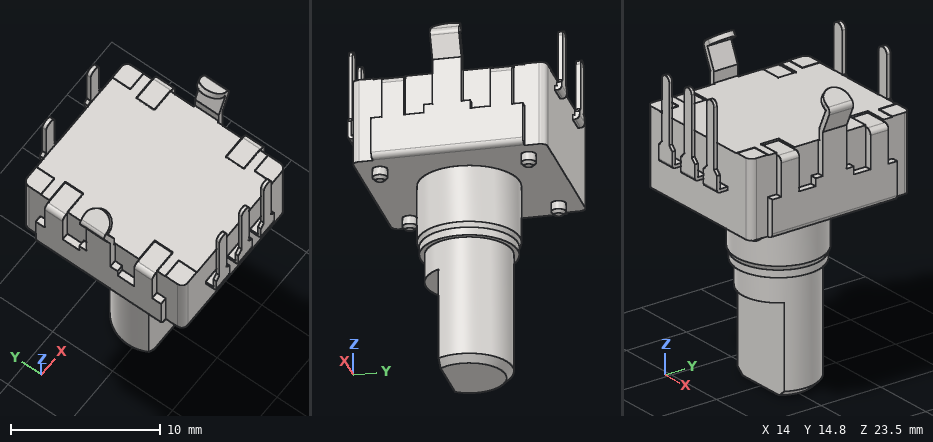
import cadquery as cq
import math


body_x = 11.5
body_y = 13.4
body_top = 5.95
body_corner_radius = 0.5
corner_pad = 1.5
corner_pad_top = 6.0

bushing_dia = 7.0
bushing_bottom = -4.1
collar_dia = 6.7
collar_top = -4.45
collar_bottom = -5.0
shaft_dia = 6.0
shaft_bottom = -14.0
shaft_chamfer = 0.5
flat_top = -7.0
flat_y = -1.48

post_dia = 1.0
post_height = 0.8
post_chamfer = 0.2
post_x = 4.18
post_y = 5.12

frame_x = 12.55
frame_y = 10.45
frame_side_top = 2.9
frame_bend_radius = 0.4
clip_width = 1.5
clip_y = 3.74
clip_reach = 3.97
clip_top = 5.8
lug_step_width = 3.2
lug_step_top = 3.48

lug_width = 2.0
lug_thickness = 0.42
lug_reach = 7.0
lug_bend_z = 6.8
lug_elbow_z = 8.4
lug_top = 9.5
lug_fold_angle = math.radians(35)

pin_pitch = 2.5
pin_foot_width = 1.5
pin_middle_foot_width = 1.57
pin_top = 9.5
pin_tip_height = 0.4
front_pin_width = 0.82
front_pin_y = 7.6
front_pin_thickness = 0.25
front_pin_bottom = 2.9
front_shoulder_top = 4.51
front_bend_radius = 0.24
rear_pin_width = 0.95
rear_pin_y = 7.17
rear_pin_thickness = 0.33
rear_pin_bottom = 4.95
rear_shoulder_top = 5.8
rear_bend_radius = 0.3

overlap = 0.24


def block(x0, x1, y0, y1, z0, z1):
    """Axis-aligned box between two opposite corners."""
    return cq.Workplane("XY").box(x1 - x0, y1 - y0, z1 - z0, centered=False).translate((x0, y0, z0))


def make_housing():
    """Rounded box with a slightly raised pad on each corner of the top."""
    housing = (
        cq.Workplane("XY")
        .rect(body_x, body_y)
        .extrude(corner_pad_top)
        .edges("|Z")
        .fillet(body_corner_radius)
    )
    pad_height = corner_pad_top - body_top
    for length, width in (
        (body_x, body_y - 2 * corner_pad),
        (body_x - 2 * corner_pad, body_y),
    ):
        lowered_top = cq.Workplane("XY").workplane(offset=body_top).rect(length, width).extrude(pad_height)
        housing = housing.cut(lowered_top)
    return housing


def make_shaft():
    """Bushing, collar and chamfered shaft in one revolve, with the D flat cut on -Y."""
    shaft_radius = shaft_dia / 2
    turned = (
        cq.Workplane("XZ")
        .moveTo(0, overlap)
        .lineTo(bushing_dia / 2, overlap)
        .lineTo(bushing_dia / 2, bushing_bottom)
        .lineTo(collar_dia / 2, collar_top)
        .lineTo(collar_dia / 2, collar_bottom)
        .lineTo(shaft_radius, collar_bottom)
        .lineTo(shaft_radius, shaft_bottom + shaft_chamfer)
        .lineTo(shaft_radius - shaft_chamfer, shaft_bottom)
        .lineTo(0, shaft_bottom)
        .close()
        .revolve(360, (0, 0), (0, 1))
    )
    flat = block(-shaft_radius, shaft_radius, -shaft_radius, flat_y, shaft_bottom, flat_top)
    return turned.cut(flat)


def make_posts():
    """Four chamfered locating posts under the housing."""
    return (
        cq.Workplane("XY")
        .workplane(offset=overlap)
        .rect(2 * post_x, 2 * post_y, forConstruction=True)
        .vertices()
        .circle(post_dia / 2)
        .extrude(-(post_height + overlap))
        .faces("<Z")
        .chamfer(post_chamfer)
    )


def make_clip_pocket(y):
    """Recess in the housing top on +X, above one folded clip."""
    return block(
        clip_reach, frame_x / 2,
        y - clip_width / 2, y + clip_width / 2,
        clip_top, corner_pad_top,
    )


def make_frame_side():
    """Frame wall on +X with its two folded clips and the risers below the lug."""
    inner_x = body_x / 2 - overlap
    outer_x = frame_x / 2
    wall = block(inner_x, outer_x, -frame_y / 2, frame_y / 2, 0, frame_side_top)
    wall = wall.edges(">X and <Z").fillet(frame_bend_radius)
    for width, top in ((lug_step_width, lug_step_top), (lug_width, body_top)):
        wall = wall.union(block(inner_x, outer_x, -width / 2, width / 2, frame_bend_radius, top))
    for y in (-clip_y, clip_y):
        clip = block(inner_x, outer_x, y - clip_width / 2, y + clip_width / 2, frame_bend_radius, clip_top)
        wall = wall.union(clip.edges(">X and >Z").fillet(frame_bend_radius))
    return wall


def make_lug():
    """Bent strip on +X, of constant thickness, with a round end on its folded tip."""
    outer_x = frame_x / 2
    inner_x = outer_x - lug_thickness
    elbow_x = lug_reach - lug_thickness
    lean_angle = math.atan2(elbow_x - inner_x, lug_elbow_z - lug_bend_z)

    def elbow_outer_point(angle):
        """Point on the round outside of the elbow, centred on its inner corner."""
        return (
            elbow_x + lug_thickness * math.cos(angle),
            lug_elbow_z + lug_thickness * math.sin(angle),
        )

    stem = (
        cq.Workplane("XZ")
        .moveTo(inner_x, lug_step_top)
        .lineTo(outer_x, lug_step_top)
        .lineTo(outer_x, lug_bend_z - lug_thickness * math.tan(lean_angle / 2))
        .lineTo(*elbow_outer_point(-lean_angle))
        .threePointArc(elbow_outer_point(0), elbow_outer_point(math.pi / 2 - lug_fold_angle))
        .lineTo(elbow_x, lug_elbow_z)
        .lineTo(inner_x, lug_bend_z)
        .close()
        .extrude(lug_width / 2, both=True)
    )

    fold_sin = math.sin(lug_fold_angle)
    fold_cos = math.cos(lug_fold_angle)
    tip_length = (lug_top - lug_elbow_z - lug_thickness * fold_cos) / fold_sin
    tip_plane = cq.Plane(
        origin=(elbow_x, 0, lug_elbow_z),
        xDir=(-fold_cos, 0, fold_sin),
        normal=(fold_sin, 0, fold_cos),
    )
    half_width = lug_width / 2
    tip = (
        cq.Workplane(tip_plane)
        .moveTo(0, -half_width)
        .lineTo(tip_length - half_width, -half_width)
        .threePointArc((tip_length, 0), (tip_length - half_width, half_width))
        .lineTo(0, half_width)
        .close()
        .extrude(lug_thickness)
    )
    return stem.union(tip)


def make_pin(x, foot_width, width, outer_y, thickness, bottom, shoulder_top, bend_radius):
    """L-shaped terminal on the +Y side: wide foot, sloped shoulders and a round tip."""
    inner_y = body_y / 2 - overlap
    bent_strip = (
        block(-foot_width / 2, foot_width / 2, inner_y, outer_y, bottom, pin_top)
        .cut(block(-foot_width, foot_width, 0, outer_y - thickness, bottom + thickness, pin_top))
        .edges(">Y and <Z")
        .fillet(bend_radius)
    )
    foot_half = foot_width / 2
    half = width / 2
    shoulder_bottom = shoulder_top - (foot_half - half)
    tip_start = pin_top - pin_tip_height
    front_outline = (
        cq.Workplane("XZ")
        .moveTo(-foot_half, bottom)
        .lineTo(foot_half, bottom)
        .lineTo(foot_half, shoulder_bottom)
        .lineTo(half, shoulder_top)
        .lineTo(half, tip_start)
        .threePointArc((0, pin_top), (-half, tip_start))
        .lineTo(-half, shoulder_top)
        .lineTo(-foot_half, shoulder_bottom)
        .close()
        .extrude(-outer_y)
    )
    return bent_strip.intersect(front_outline).translate((x, 0, 0))


def make_front_pin(x, foot_width):
    """One of the three terminals on -Y."""
    pin = make_pin(
        x, foot_width, front_pin_width, front_pin_y, front_pin_thickness,
        front_pin_bottom, front_shoulder_top, front_bend_radius,
    )
    return pin.mirror("XZ")


def make_rear_pin(x):
    """One of the two terminals on +Y."""
    return make_pin(
        x, pin_foot_width, rear_pin_width, rear_pin_y, rear_pin_thickness,
        rear_pin_bottom, rear_shoulder_top, rear_bend_radius,
    )


housing = make_housing()
for clip_center in (-clip_y, clip_y):
    pocket = make_clip_pocket(clip_center)
    housing = housing.cut(pocket).cut(pocket.mirror("YZ"))

frame_side = make_frame_side().union(make_lug())

result = (
    housing
    .union(make_shaft())
    .union(make_posts())
    .union(frame_side)
    .union(frame_side.mirror("YZ"))
    .union(make_front_pin(0, pin_middle_foot_width))
)
for pin_x in (-pin_pitch, pin_pitch):
    result = result.union(make_front_pin(pin_x, pin_foot_width)).union(make_rear_pin(pin_x))